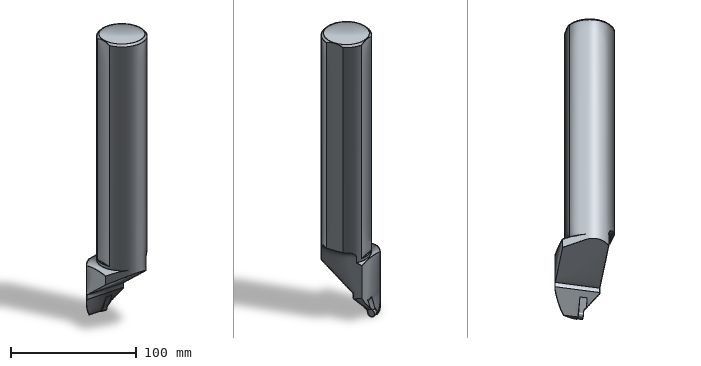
import cadquery as cq
import math

total_length = 254.0
shank_radius = 20.0
shank_chamfer = 1.8
flat_offset = 18.5
flat_bottom_z = 56.1
shoulder_z = 53.5

head_back_y = 11.7
head_front_y = -25.0
front_left_x = -14.0
front_right_x = 11.2
side_x = -21.0
side_corner_y = -17.3
stem_outer_x = -25.7
back_relief_radius = 5.8
back_relief_top_z = 63.5
shoulder_slope = 0.38
shoulder_reach = 35.5

stem_bend_z = 15.5
stem_end_z = 0.8
stem_inner_x = -13.0
stem_inner_top_z = 24.6
stem_inner_bend_z = 20.5
underside_end_z = 49.8
stem_end_inner_x = -21.8

nose_radius = 3.18
nose_x = -22.73
insert_top_y = 1.9
insert_bottom_y = -4.0

rake_start_z = 22.0
rake_slope = 1.3
rake_tilt = 18.0

SPAN = 101.5


def along_y(sketch, y_low, y_high):
    """Extrude a closed XZ profile from y_low to y_high."""
    return sketch.extrude(y_high - y_low).translate((0, y_high, 0))


def make_shank():
    """Round bar with three flats and a chamfered top."""
    bar = cq.Workplane("XY").workplane(offset=shoulder_z).circle(shank_radius)
    bar = bar.extrude(total_length - shoulder_z).faces(">Z").chamfer(shank_chamfer)
    flat_height = total_length - flat_bottom_z
    cutter = cq.Workplane("XY").box(SPAN, SPAN, flat_height, centered=(False, True, False))
    cutter = cutter.translate((flat_offset, 0, flat_bottom_z))
    for angle in (90, 180, 270):
        bar = bar.cut(cutter.rotate((0, 0, 0), (0, 0, 1), angle))
    return bar


def head_plan():
    """Head cross section, with its right side tangent to the shank."""
    corner_distance = math.hypot(front_right_x, head_front_y)
    tangent_angle = math.atan2(head_front_y, front_right_x) + math.acos(shank_radius / corner_distance)
    tangent_point = (shank_radius * math.cos(tangent_angle), shank_radius * math.sin(tangent_angle))
    back_right_x = math.sqrt(shank_radius**2 - head_back_y**2)
    return (
        cq.Workplane("XY")
        .moveTo(stem_outer_x, head_back_y)
        .lineTo(stem_outer_x, insert_bottom_y)
        .threePointArc((side_x, side_corner_y), (front_left_x, head_front_y))
        .lineTo(front_right_x, head_front_y)
        .lineTo(*tangent_point)
        .threePointArc((shank_radius, 0), (back_right_x, head_back_y))
        .close()
    )


def head_profile():
    """Head and bent stem seen along Y."""
    top_z = flat_bottom_z
    return (
        cq.Workplane("XZ")
        .moveTo(side_x, top_z)
        .lineTo(side_x, stem_bend_z)
        .lineTo(stem_outer_x, stem_end_z)
        .lineTo(stem_end_inner_x, stem_end_z)
        .lineTo(stem_inner_x, stem_inner_bend_z)
        .lineTo(stem_inner_x, stem_inner_top_z)
        .lineTo(shank_radius, underside_end_z)
        .lineTo(shank_radius, top_z)
        .close()
    )


def shoulder_cone():
    """Everything below the conical shoulder on top of the head."""
    rim_z = shoulder_z - shoulder_slope * (shoulder_reach - shank_radius)
    return (
        cq.Workplane("XZ")
        .polyline([(0, 0), (shoulder_reach, 0), (shoulder_reach, rim_z),
                   (shank_radius, shoulder_z), (0, shoulder_z)])
        .close()
        .revolve(360, (0, 0, 0), (0, 1, 0))
    )


def back_relief():
    """Cut that thins the shank to the back of the head, ending in a round."""
    block = cq.Workplane("XY").box(SPAN, SPAN, back_relief_top_z, centered=(True, False, False))
    block = block.edges("|X and >Z and <Y").fillet(back_relief_radius)
    return block.translate((0, head_back_y, 0))


def rake_cut():
    """Sloping cut over the stem that levels out at the rake face, y = 0."""
    rake_end_z = rake_start_z - rake_slope * head_back_y
    slope_end_z = rake_end_z + rake_slope * SPAN
    cutter = (
        cq.Workplane("YZ")
        .polyline([(0, -SPAN), (0, rake_end_z), (SPAN, slope_end_z), (SPAN, -SPAN)])
        .close()
        .extrude(SPAN, both=True)
    )
    return cutter.rotate((side_x, 0, rake_start_z), (side_x, 1, rake_start_z), rake_tilt)


def make_insert():
    """Cutting insert: a slanted bar carrying a round nose."""
    bend_inner_x = stem_inner_x + (stem_end_inner_x - stem_inner_x) * (
        (stem_inner_bend_z - stem_bend_z) / (stem_inner_bend_z - stem_end_z))
    nose_slant = (stem_bend_z - nose_radius) / (stem_bend_z - stem_end_z)
    bar = (
        cq.Workplane("XZ")
        .polyline([
            (side_x, stem_bend_z),
            (side_x + nose_slant * (stem_outer_x - side_x), nose_radius),
            (nose_x + nose_radius, nose_radius),
            (bend_inner_x, stem_bend_z),
        ])
        .close()
    )
    nose = cq.Workplane("XZ").center(nose_x, nose_radius).circle(nose_radius)
    insert = along_y(bar, insert_bottom_y, insert_top_y).union(along_y(nose, insert_bottom_y, insert_top_y))
    return insert.cut(rake_cut())


def insert_seat():
    """Open-ended slot that clears the stem around the insert."""
    return cq.Workplane("XY").box(
        SPAN, insert_top_y - insert_bottom_y, stem_bend_z, centered=(True, False, False)
    ).translate((0, insert_bottom_y, 0))


def make_holder():
    """Shank and head in one piece, with the seat for the insert."""
    head = head_plan().extrude(flat_bottom_z)
    head = head.intersect(along_y(head_profile(), head_front_y, head_back_y))
    head = head.intersect(shoulder_cone()).cut(rake_cut()).cut(insert_seat())
    return make_shank().cut(back_relief()).union(head)


holder = make_holder()
insert = make_insert()
result = cq.Compound.makeCompound([holder.val(), insert.val()])